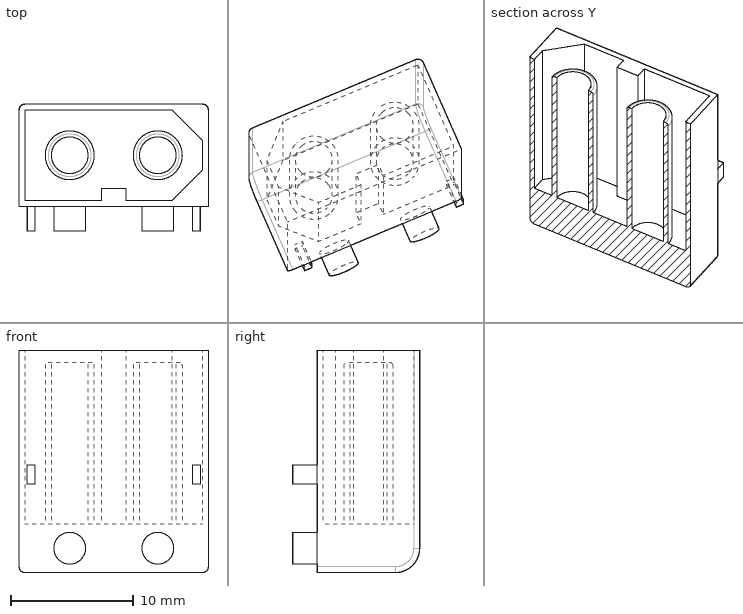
import cadquery as cq

width = 15.5
depth = 8.39
height = 18.2
bottom_radius = 2.0
side_fillet = 0.5

wall = 0.5
cavity_floor = 4.0
corner_cut = 2.5
key_width = 2.0
key_depth = 1.0

contact_pitch = 7.2
barrel_diameter = 4.0
bore_diameter = 3.0
barrel_recess = 1.0
barrel_fillet = 0.25

pin_diameter = 2.6
pin_length = 2.0
pin_height = 2.0
tab_width = 0.65
tab_height = 1.58
tab_bottom = 7.25
tab_pitch = 13.5

half_width = width / 2
contact_positions = [-contact_pitch / 2, contact_pitch / 2]


def make_housing():
    """Block with a rounded lower back edge and softened back and bottom side edges."""
    housing = cq.Workplane("XY").box(width, depth, height, centered=(True, False, False))
    housing = housing.edges(">Y and <Z").fillet(bottom_radius)
    return housing.edges("|Z and >Y").fillet(side_fillet)


def make_cavity():
    """Polarised pocket: two cut corners on +X and a key rib on the mounting side."""
    left = -half_width + wall
    right = half_width - wall
    front = wall
    back = depth - wall
    outline = [
        (left, front),
        (right - corner_cut, front),
        (right, front + corner_cut),
        (right, back - corner_cut),
        (right - corner_cut, back),
        (left, back),
    ]
    cavity_height = height - cavity_floor
    cavity = cq.Workplane("XY", origin=(0, 0, cavity_floor)).polyline(outline).close().extrude(cavity_height)
    key = (
        cq.Workplane("XY", origin=(0, front, cavity_floor))
        .box(key_width, key_depth, cavity_height, centered=(True, False, False))
    )
    return cavity.cut(key)


def make_barrel(x):
    """Hollow contact standing on the cavity floor, with a rounded outer rim."""
    barrel_height = height - barrel_recess - cavity_floor
    base = cq.Workplane("XY", origin=(x, depth / 2, cavity_floor))
    barrel = base.circle(barrel_diameter / 2).extrude(barrel_height)
    barrel = barrel.faces(">Z").edges().fillet(barrel_fillet)
    return barrel.cut(base.circle(bore_diameter / 2).extrude(barrel_height))


def make_pin(x):
    """Round pin projecting from the mounting face toward -Y."""
    return cq.Workplane("XZ", origin=(x, 0, pin_height)).circle(pin_diameter / 2).extrude(pin_length)


def make_tab(x):
    """Flat tab projecting as far as the pins."""
    tab = cq.Workplane("XY").box(tab_width, pin_length, tab_height, centered=(True, False, False))
    return tab.translate((x, -pin_length, tab_bottom))


result = make_housing().cut(make_cavity())
for contact_x in contact_positions:
    result = result.union(make_barrel(contact_x)).union(make_pin(contact_x))
for tab_x in [-tab_pitch / 2, tab_pitch / 2]:
    result = result.union(make_tab(tab_x))